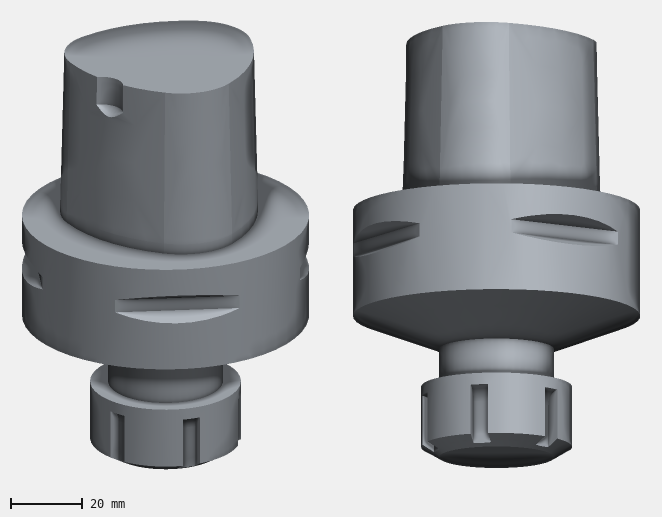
import cadquery as cq
import math

FLANGE_RADIUS = 40.0
FLANGE_THICKNESS = 30.0
NECK_RADIUS = 16.0
CONE_HEIGHT = 9.4

NUT_TOP = -50.0
NUT_HEIGHT = 20.0
NUT_RADIUS = 21.0
NUT_NOSE_RADIUS = 16.0
NUT_CHAMFER_ANGLE = 30.0

NUT_SLOT_COUNT = 6
NUT_SLOT_FIRST_ANGLE = -90.0
NUT_SLOT_WIDTH = 5.0
NUT_SLOT_FLOOR = 17.4
NUT_SLOT_TOP_GAP = 3.2
NUT_SLOT_END_RADIUS = 4.0

SHANK_HEIGHT = 48.0
SHANK_FOOT_HEIGHT = 3.0
SHANK_TAPER = math.degrees(math.atan(1 / 40))
LOBE_REACH = 29.5
SIDE_REACH = 25.5
LOBE_RADIUS = 17.0

NOTCH_RADIUS = 6.0
NOTCH_DEPTH = 8.3
NOTCH_CENTER_Y = -27.9
NOTCH_TIP_ANGLE = 100.0

GROOVE_COUNT = 4
GROOVE_FIRST_ANGLE = 45.0
GROOVE_CENTER_Z = -12.0
GROOVE_FLOOR = 36.0
GROOVE_FLOOR_WIDTH = 3.7
GROOVE_FLANK_ANGLE = 30.0

CLEARANCE = 5.0


def polar(radius, angle):
    """Point at a radius and an angle in degrees."""
    a = math.radians(angle)
    return (radius * math.cos(a), radius * math.sin(a))


def make_turned_body():
    """Flange, cone, neck and nut as one revolved profile."""
    nut_bottom = NUT_TOP - NUT_HEIGHT
    chamfer_height = (NUT_RADIUS - NUT_NOSE_RADIUS) * math.tan(math.radians(NUT_CHAMFER_ANGLE))
    profile = [
        (0, 0),
        (FLANGE_RADIUS, 0),
        (FLANGE_RADIUS, -FLANGE_THICKNESS),
        (NECK_RADIUS, -FLANGE_THICKNESS - CONE_HEIGHT),
        (NECK_RADIUS, NUT_TOP),
        (NUT_RADIUS, NUT_TOP),
        (NUT_RADIUS, nut_bottom + chamfer_height),
        (NUT_NOSE_RADIUS, nut_bottom),
        (0, nut_bottom),
    ]
    return cq.Workplane("XZ").polyline(profile).close().revolve(360, (0, 0), (0, 1))


def lobed_outline(plane):
    """Closed outline of three lobe arcs and three flatter side arcs, all tangent."""
    lobe_offset = LOBE_REACH - LOBE_RADIUS
    reach_step = SIDE_REACH - LOBE_RADIUS
    side_offset = (lobe_offset**2 - reach_step**2) / (2 * reach_step - lobe_offset)
    side_half_angle = math.degrees(
        math.atan2(lobe_offset * math.sin(math.radians(60)), side_offset + lobe_offset / 2)
    )
    lobe_half_angle = 60 - side_half_angle

    def joint(lobe_angle, side):
        center = polar(lobe_offset, lobe_angle)
        rim = polar(LOBE_RADIUS, lobe_angle + side * lobe_half_angle)
        return (center[0] + rim[0], center[1] + rim[1])

    lobe_angles = [90, 210, 330]
    outline = plane.moveTo(*joint(lobe_angles[0], -1))
    for angle in lobe_angles:
        outline = outline.threePointArc(polar(LOBE_REACH, angle), joint(angle, 1))
        outline = outline.threePointArc(polar(SIDE_REACH, angle + 60), joint(angle + 120, -1))
    return outline.close()


def make_shank():
    """Straight foot on the flange face and the tapered stretch standing on it."""
    foot = lobed_outline(cq.Workplane("XY")).extrude(SHANK_FOOT_HEIGHT)
    taper_base = cq.Workplane("XY").workplane(offset=SHANK_FOOT_HEIGHT)
    taper = lobed_outline(taper_base).extrude(SHANK_HEIGHT - SHANK_FOOT_HEIGHT, taper=SHANK_TAPER)
    return foot, taper


def make_notch_cutter():
    """Drill shape with a conical tip, standing at the edge of the shank top."""
    tip_height = NOTCH_RADIUS / math.tan(math.radians(NOTCH_TIP_ANGLE / 2))
    shoulder = SHANK_HEIGHT - NOTCH_DEPTH
    top = SHANK_HEIGHT + CLEARANCE
    profile = [
        (0, shoulder - tip_height),
        (NOTCH_RADIUS, shoulder),
        (NOTCH_RADIUS, top),
        (0, top),
    ]
    drill = cq.Workplane("XZ").polyline(profile).close().revolve(360, (0, 0), (0, 1))
    return drill.translate((0, NOTCH_CENTER_Y, 0))


def make_groove_cutter(angle):
    """Straight trapezoidal groove across the flange rim, facing the given angle."""
    outer = FLANGE_RADIUS + CLEARANCE
    floor_half = GROOVE_FLOOR_WIDTH / 2
    outer_half = floor_half + (outer - GROOVE_FLOOR) * math.tan(math.radians(GROOVE_FLANK_ANGLE))
    section = [
        (GROOVE_FLOOR, GROOVE_CENTER_Z - floor_half),
        (outer, GROOVE_CENTER_Z - outer_half),
        (outer, GROOVE_CENTER_Z + outer_half),
        (GROOVE_FLOOR, GROOVE_CENTER_Z + floor_half),
    ]
    groove = cq.Workplane("XZ").polyline(section).close().extrude(FLANGE_RADIUS, both=True)
    return groove.rotate((0, 0, 0), (0, 0, 1), angle)


def make_nut_slot_cutter(angle):
    """Wrench slot open at the nose of the nut, with a rounded run-out at its upper end."""
    outer = NUT_RADIUS + CLEARANCE
    top = NUT_TOP - NUT_SLOT_TOP_GAP
    bottom = NUT_TOP - NUT_HEIGHT - CLEARANCE
    radius = NUT_SLOT_END_RADIUS
    bend = radius * (1 - math.cos(math.radians(45)))
    slot = (
        cq.Workplane("XZ")
        .moveTo(NUT_SLOT_FLOOR, bottom)
        .lineTo(outer, bottom)
        .lineTo(outer, top)
        .lineTo(NUT_SLOT_FLOOR + radius, top)
        .threePointArc((NUT_SLOT_FLOOR + bend, top - bend), (NUT_SLOT_FLOOR, top - radius))
        .close()
        .extrude(NUT_SLOT_WIDTH / 2, both=True)
    )
    return slot.rotate((0, 0, 0), (0, 0, 1), angle)


foot, taper = make_shank()
result = make_turned_body().union(foot).union(taper)
result = result.cut(make_notch_cutter())

for i in range(GROOVE_COUNT):
    result = result.cut(make_groove_cutter(GROOVE_FIRST_ANGLE + i * 360 / GROOVE_COUNT))

for i in range(NUT_SLOT_COUNT):
    result = result.cut(make_nut_slot_cutter(NUT_SLOT_FIRST_ANGLE + i * 360 / NUT_SLOT_COUNT))